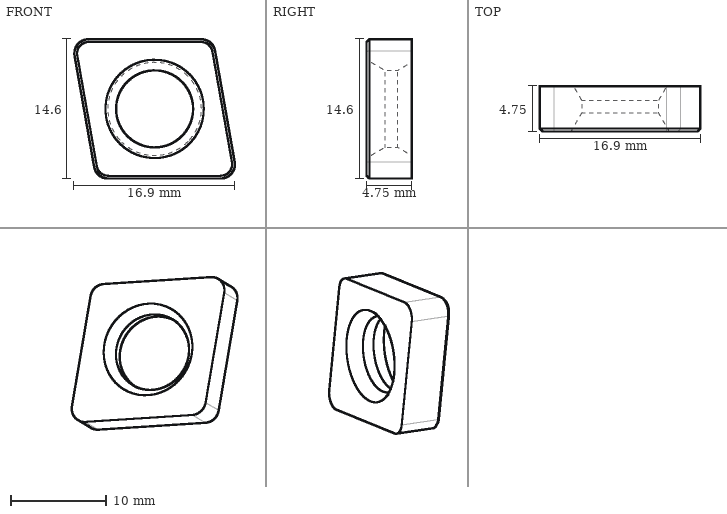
import cadquery as cq
import math

length = 16.85
thickness = 4.75
acute_angle = 80.0
corner_radius = 1.5
edge_chamfer = 0.3
bore_diameter = 8.05
countersink_angle = 60.0
front_countersink_diameter = 10.31
back_countersink_depth = 1.5

angle = math.radians(acute_angle)
arc_centre_side = (length - 2 * corner_radius) / (1 + math.cos(angle))
side = arc_centre_side + 2 * corner_radius / math.sin(angle)
height = side * math.sin(angle)
lean = side * math.cos(angle)

corners = [
    (-(side + lean) / 2, height / 2),
    ((side - lean) / 2, height / 2),
    ((side + lean) / 2, -height / 2),
    (-(side - lean) / 2, -height / 2),
]
body = (
    cq.Workplane("XZ")
    .polyline(corners)
    .close()
    .extrude(thickness)
    .edges("|Y")
    .fillet(corner_radius)
    .faces("<Y")
    .chamfer(edge_chamfer)
)


def double_countersunk_bore():
    """Through bore along Y, opening out as a cone at the front and back faces."""
    cone_slope = math.tan(math.radians(countersink_angle / 2))
    bore_radius = bore_diameter / 2
    front_radius = front_countersink_diameter / 2
    front_depth = (front_radius - bore_radius) / cone_slope
    back_radius = bore_radius + back_countersink_depth * cone_slope
    return (
        cq.Workplane("XY")
        .moveTo(0, 0)
        .lineTo(back_radius, 0)
        .lineTo(bore_radius, -back_countersink_depth)
        .lineTo(bore_radius, -thickness + front_depth)
        .lineTo(front_radius, -thickness)
        .lineTo(0, -thickness)
        .close()
        .revolve(360, (0, 0), (0, 1))
    )


result = body.cut(double_countersunk_bore())